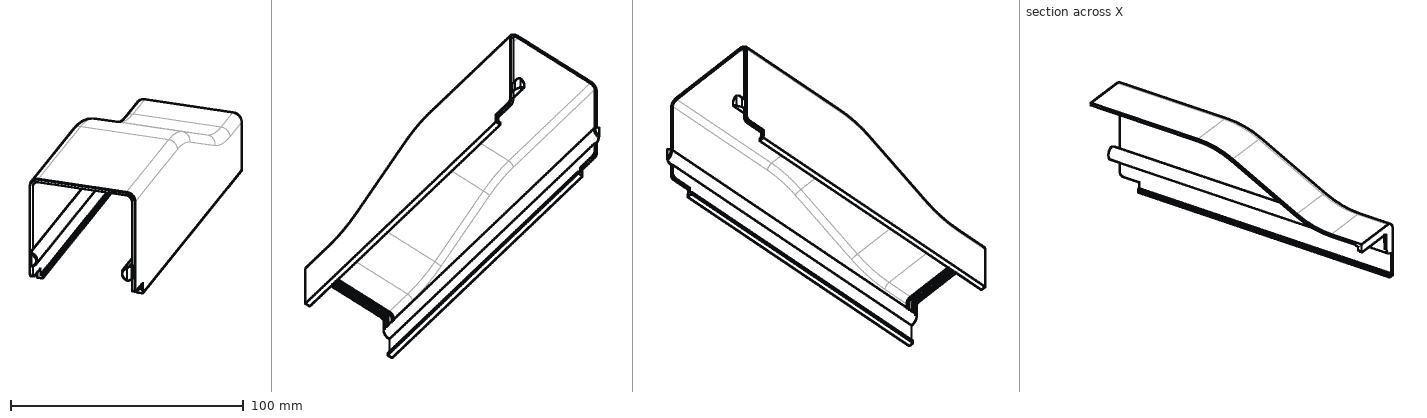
import cadquery as cq
import math

WIDTH = 48.0
LENGTH = 140.0
FRONT_HEIGHT = 52.0
BACK_HEIGHT = 27.0
WALL = 1.5
EDGE_RADIUS = 4.0

SLOPE_START = 65.0
SLOPE_END = 115.0
BEND_RADIUS = 40.0

NOTCH_LENGTH = 10.0
NOTCH_HEIGHT = 4.5
NOTCH_CORNER_RADIUS = 2.0
FRONT_CHAMFER = 0.3

RAIL_RADIUS = 3.3
RAIL_CHAMFER_WIDTH = 0.5
RAIL_CHAMFER_DROP = 0.8
RAIL_HEIGHT = 15.0
TAB_LENGTH = 4.0
TAB_EMBED = 0.4
TAB_TAPER_LENGTH = 2.3
TAB_TAPER_DEPTH = 1.1
TAB_TIP_CHAMFER = 0.4

COLLAR_STEPS = (
    (3.0, 0.4, 0.4),
    (2.0, 2.2, 2.3),
    (1.0, 3.3, 2.6),
)
COLLAR_CORNER_RADIUS = 1.2

LIP_DEPTH = 1.0
LIP_HEIGHT = 1.6
LIP_EDGE_HEIGHT = 1.3

INNER_HALF_WIDTH = WIDTH / 2 - WALL
SLOPE_ANGLE = math.atan2(FRONT_HEIGHT - BACK_HEIGHT, SLOPE_END - SLOPE_START)


def stepped_block(inset):
    """Round-edged solid under the roof and between the sides, all moved inward by an inset."""
    corner_shift = inset * math.tan(SLOPE_ANGLE / 2)
    high = FRONT_HEIGHT - inset
    low = BACK_HEIGHT - inset
    upper_radius = BEND_RADIUS - inset
    lower_radius = BEND_RADIUS + inset
    upper_corner = SLOPE_START - corner_shift
    lower_corner = SLOPE_END - corner_shift
    upper_tangent = upper_radius * math.tan(SLOPE_ANGLE / 2)
    lower_tangent = lower_radius * math.tan(SLOPE_ANGLE / 2)
    upper_end = (
        upper_corner + upper_tangent * math.cos(SLOPE_ANGLE),
        high - upper_tangent * math.sin(SLOPE_ANGLE),
    )
    lower_start = (
        lower_corner - lower_tangent * math.cos(SLOPE_ANGLE),
        low + lower_tangent * math.sin(SLOPE_ANGLE),
    )
    half_width = WIDTH / 2 - inset
    block = (
        cq.Workplane("YZ", origin=(-half_width, 0, 0))
        .moveTo(0, 0)
        .lineTo(0, high)
        .lineTo(upper_corner - upper_tangent, high)
        .tangentArcPoint(upper_end, relative=False)
        .lineTo(*lower_start)
        .tangentArcPoint((lower_corner + lower_tangent, low), relative=False)
        .lineTo(LENGTH, low)
        .lineTo(LENGTH, 0)
        .close()
        .extrude(2 * half_width)
    )
    return block.faces("<X or >X").edges("not(<Z or <Y or >Y)").fillet(EDGE_RADIUS - inset)


def front_notch():
    """Cutter for the notch below both front corners, with the corner above it rounded."""
    notch = cq.Workplane("XY").box(WIDTH, NOTCH_LENGTH, NOTCH_HEIGHT, centered=(True, False, False))
    corner_block = (
        cq.Workplane("XY", origin=(0, 0, NOTCH_HEIGHT))
        .box(WIDTH, NOTCH_CORNER_RADIUS, NOTCH_CORNER_RADIUS, centered=(True, False, False))
    )
    corner_round = (
        cq.Workplane("YZ", origin=(-WIDTH / 2, 0, 0))
        .center(NOTCH_CORNER_RADIUS, NOTCH_HEIGHT + NOTCH_CORNER_RADIUS)
        .circle(NOTCH_CORNER_RADIUS)
        .extrude(WIDTH)
    )
    return notch.union(corner_block.cut(corner_round))


def left_rail():
    """Half-round rail with a chamfered top corner; its front tab tapers on the wall side."""
    outer_x = -INNER_HALF_WIDTH - TAB_EMBED
    ridge_x = outer_x + RAIL_CHAMFER_WIDTH
    ridge_rise = math.sqrt(RAIL_RADIUS**2 - (ridge_x + INNER_HALF_WIDTH) ** 2)
    rail = (
        cq.Workplane("XZ", origin=(0, -TAB_LENGTH, 0))
        .moveTo(outer_x, RAIL_HEIGHT - RAIL_RADIUS)
        .lineTo(-INNER_HALF_WIDTH, RAIL_HEIGHT - RAIL_RADIUS)
        .threePointArc((-INNER_HALF_WIDTH + RAIL_RADIUS, RAIL_HEIGHT), (ridge_x, RAIL_HEIGHT + ridge_rise))
        .lineTo(outer_x, RAIL_HEIGHT + RAIL_RADIUS - RAIL_CHAMFER_DROP)
        .close()
        .extrude(-(LENGTH + TAB_LENGTH))
        .faces("<Y").edges("not <X").chamfer(TAB_TIP_CHAMFER)
    )
    taper = (
        cq.Workplane("XY")
        .moveTo(outer_x, -TAB_LENGTH)
        .lineTo(outer_x + TAB_TAPER_DEPTH, -TAB_LENGTH)
        .lineTo(outer_x, TAB_TAPER_LENGTH - TAB_LENGTH)
        .close()
        .extrude(FRONT_HEIGHT)
    )
    return rail.cut(taper)


def left_lip():
    """Inward lip with a sloped top along the bottom of the left wall, behind the notch."""
    return (
        cq.Workplane("XZ", origin=(0, NOTCH_LENGTH, 0))
        .moveTo(-WIDTH / 2, 0)
        .lineTo(-INNER_HALF_WIDTH + LIP_DEPTH, 0)
        .lineTo(-INNER_HALF_WIDTH + LIP_DEPTH, LIP_EDGE_HEIGHT)
        .lineTo(-INNER_HALF_WIDTH, LIP_HEIGHT)
        .lineTo(-WIDTH / 2, LIP_HEIGHT)
        .close()
        .extrude(-(LENGTH - NOTCH_LENGTH))
    )


def collar_ring(length, side, roof):
    """U-shaped band against the inside of the back end, its legs ending at the rails."""
    inner_height = BACK_HEIGHT - WALL
    ring_height = inner_height - RAIL_HEIGHT
    band = (
        cq.Workplane("XY", origin=(0, LENGTH - length, RAIL_HEIGHT))
        .box(2 * INNER_HALF_WIDTH, length, ring_height, centered=(True, False, False))
        .edges("|Y and >Z").fillet(EDGE_RADIUS - WALL)
    )
    opening = (
        cq.Workplane("XY", origin=(0, LENGTH - length, RAIL_HEIGHT))
        .box(2 * (INNER_HALF_WIDTH - side), length, ring_height - roof, centered=(True, False, False))
        .edges("|Y and >Z").fillet(COLLAR_CORNER_RADIUS)
    )
    return band.cut(opening)


def shell():
    """Thin cover with notched front corners and a small chamfer around its front outer edge."""
    outer = stepped_block(0).cut(front_notch())
    front_edges = outer.faces("<Y").edges("not <Z")
    notch_edges = outer.faces("<X or >X").edges("|Z").edges("<Z")
    outer = front_edges.add(notch_edges).chamfer(FRONT_CHAMFER)
    return outer.cut(stepped_block(WALL))


result = shell()
for left_feature in (left_rail(), left_lip()):
    result = result.union(left_feature).union(left_feature.mirror("YZ"))
for step_length, step_side, step_roof in COLLAR_STEPS:
    result = result.union(collar_ring(step_length, step_side, step_roof))